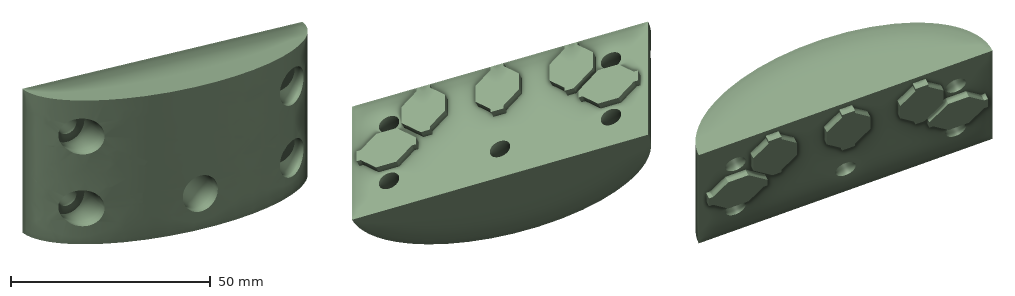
import cadquery as cq

length = 80.0
depth = 19.9
height = 40.0

hole_diameter = 5.5
counterbore_diameter = 10.0
counterbore_floor = 5.0
hole_margin = 10.0
hole_y = length / 2 - hole_margin
low_hole_z = hole_margin
high_hole_z = height - hole_margin

pad_thickness = 1.8
pad_length = 16.0
pad_width = 11.8
pad_flat = 5.5
tab_width = 3.5
upright_pad_y = 20.0
upright_pad_z = 30.0
lying_pad_y = 30.0
lying_pad_z = 20.0


def make_body():
    return (
        cq.Workplane("XY")
        .moveTo(0, -length / 2)
        .ellipseArc(depth, length / 2, -90, 90, startAtCurrent=True)
        .close()
        .extrude(height)
    )


def cylinder_along_x(diameter, start_x, y, z):
    """Cylinder from start_x out past the crown of the body."""
    return (
        cq.Workplane("YZ", origin=(start_x, y, z))
        .circle(diameter / 2)
        .extrude(depth)
    )


def counterbored_hole(y, z):
    through = cylinder_along_x(hole_diameter, 0, y, z)
    return through.union(cylinder_along_x(counterbore_diameter, counterbore_floor, y, z))


def pad_outline(clipped):
    """Upright pad about its own centre; clipping trims the +Y, -Z tab corner at 45 degrees."""
    half_width = pad_width / 2
    half_flat = pad_flat / 2
    half_length = pad_length / 2
    half_tab = tab_width / 2
    slope_sum = half_width + half_flat
    shoulder = slope_sum - half_tab
    quarter = [(half_width, half_flat), (half_tab, shoulder), (half_tab, half_length)]
    clipped_quarter = [(half_width, half_flat), (slope_sum - half_length, half_length)]
    lower_right = clipped_quarter if clipped else quarter

    points = list(quarter)
    points += [(-y, z) for y, z in reversed(quarter)]
    points += [(-y, -z) for y, z in quarter]
    points += [(y, -z) for y, z in reversed(lower_right)]
    return points


def make_pad(outline, y, z):
    return (
        cq.Workplane("YZ", origin=(0, y, z))
        .polyline(outline)
        .close()
        .extrude(-pad_thickness)
    )


result = make_body()

hole_centres = [(0, low_hole_z)]
for side in (-1, 1):
    hole_centres += [(side * hole_y, low_hole_z), (side * hole_y, high_hole_z)]
for y, z in hole_centres:
    result = result.cut(counterbored_hole(y, z))

result = result.union(make_pad(pad_outline(clipped=False), 0, upright_pad_z))

upright_outline = pad_outline(clipped=True)
lying_outline = [(z, y) for y, z in upright_outline]
for outline, y, z in (
    (upright_outline, upright_pad_y, upright_pad_z),
    (lying_outline, lying_pad_y, lying_pad_z),
):
    pad = make_pad(outline, y, z)
    result = result.union(pad).union(pad.mirror("XZ"))